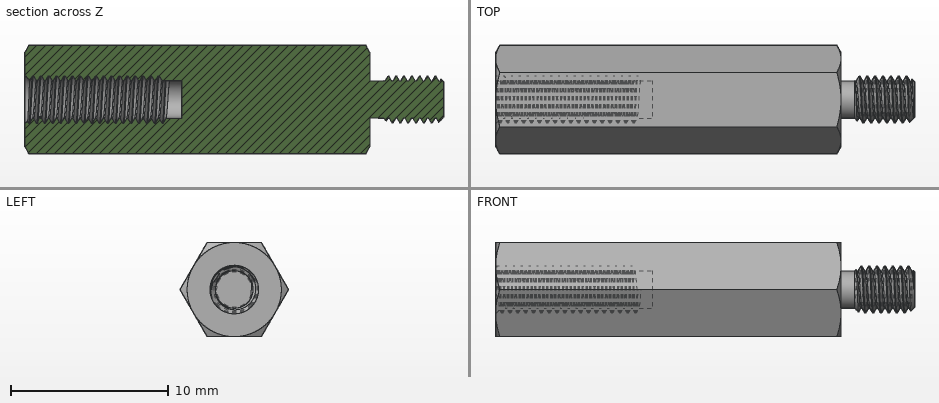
import cadquery as cq
import math


across_flats = 6.0
body_length = 22.0
corner_radius = across_flats / math.sqrt(3)
end_chamfer_angle = 30.0

major_radius = 1.5
pitch = 0.5
sharp_height = pitch * math.sqrt(3) / 2
flank_angle = 30.0
flank_slope = math.tan(math.radians(flank_angle))
crest_width = pitch / 8
depth_ratio = 17 / 24
root_radius = major_radius - depth_ratio * sharp_height
overlap = 0.03

stud_length = 4.7
neck_length = 0.86
tip_chamfer = 0.38
stud_phase = 0.17

hole_depth = 10.0
thread_depth = 9.0
mouth_radius = 1.55
mouth_depth = mouth_radius - root_radius
hole_phase = 0.04


def revolve_about_x(points):
    """Solid of revolution about X from (x, radius) points."""
    return cq.Workplane("XY").polyline(points).close().revolve(360, (0, 0, 0), (1, 0, 0))


def helical_ridge(start_x, length):
    """Right-hand thread ridge from inside the root to the crest, its centre at +Y when X is start_x."""
    inner_radius = root_radius - overlap
    half_crest = crest_width / 2
    half_base = half_crest + (major_radius - inner_radius) * flank_slope
    helix = cq.Wire.makeHelix(pitch, length, inner_radius)
    ridge = (
        cq.Workplane("XZ")
        .polyline([
            (inner_radius, -half_base),
            (major_radius, -half_crest),
            (major_radius, half_crest),
            (inner_radius, half_base),
        ])
        .close()
        .sweep(cq.Workplane(obj=helix), isFrenet=True)
    )
    return (
        ridge.rotate((0, 0, 0), (0, 1, 0), 90)
        .rotate((0, 0, 0), (1, 0, 0), 90)
        .translate((start_x, 0, 0))
    )


def make_body():
    """Hexagonal bar with corners at +Y and -Y, both ends chamfered by a cone."""
    hexagon = cq.Workplane("YZ").polygon(6, 2 * corner_radius).extrude(body_length)
    face_radius = across_flats / 2
    margin = 0.5
    cone_radius = corner_radius + margin
    cone_depth = (cone_radius - face_radius) * math.tan(math.radians(end_chamfer_angle))
    envelope = revolve_about_x([
        (0, 0),
        (0, face_radius),
        (cone_depth, cone_radius),
        (body_length - cone_depth, cone_radius),
        (body_length, face_radius),
        (body_length, 0),
    ])
    return hexagon.intersect(envelope)


def make_stud():
    """Cylindrical core, bare at the neck, with a thread bevelled at both ends."""
    thread_start = body_length + neck_length
    tip = body_length + stud_length
    tip_radius = major_radius - tip_chamfer
    core = revolve_about_x([
        (body_length, 0),
        (body_length, root_radius),
        (tip - (root_radius - tip_radius), root_radius),
        (tip, tip_radius),
        (tip, 0),
    ])
    ridge = helical_ridge(body_length + stud_phase, stud_length + pitch)
    clearance = 0.1
    inner = root_radius - clearance
    outer = major_radius + clearance
    envelope = revolve_about_x([
        (thread_start - clearance, 0),
        (thread_start - clearance, inner),
        (thread_start + outer - root_radius, outer),
        (tip - (outer - tip_radius), outer),
        (tip, tip_radius),
        (tip, 0),
    ])
    return core.union(ridge.intersect(envelope))


def make_tapped_hole():
    """Cutter for the flat-bottomed blind hole, its thread and its countersunk mouth."""
    drill = cq.Workplane("YZ").circle(root_radius).extrude(hole_depth)
    mouth = revolve_about_x([(0, 0), (0, mouth_radius), (mouth_depth, root_radius), (mouth_depth, 0)])
    groove = helical_ridge(hole_phase - pitch, thread_depth + pitch)
    return drill.union(mouth).union(groove)


result = make_body().union(make_stud()).cut(make_tapped_hole())